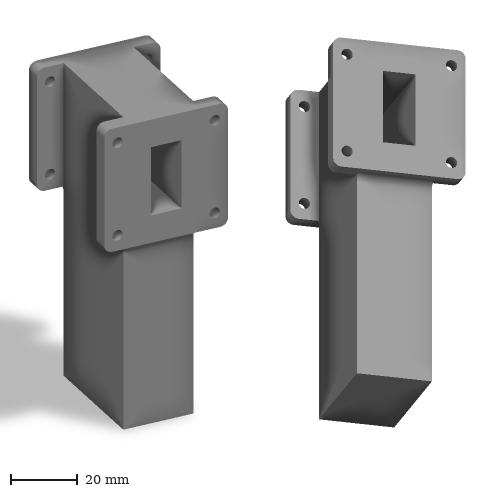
import cadquery as cq

body_height = 105.0
total_length = 50.0
body_depth = 23.4
flange_size = 41.4
flange_thickness = 5.2
flange_corner_radius = 2.6
body_width = total_length - 2 * flange_thickness

guide_width = 10.2
guide_height = 22.9
guide_z = -flange_size / 2
bolt_spacing_y = 32.5
bolt_spacing_z = 31.1
bolt_diameter = 3.5

root_radius = 2.1


def make_body():
    return cq.Workplane("XY").box(
        body_width, body_depth, body_height, centered=(True, True, False)
    ).translate((0, 0, -body_height))


def make_flange(side):
    """Square flange with rounded corners and four bolt holes; side is -1 or +1."""
    center_x = side * (total_length - flange_thickness) / 2
    return (
        cq.Workplane("YZ")
        .rect(flange_size, flange_size)
        .extrude(flange_thickness / 2, both=True)
        .edges("|X")
        .fillet(flange_corner_radius)
        .faces(">X")
        .workplane()
        .rarray(bolt_spacing_y, bolt_spacing_z, 2, 2)
        .hole(bolt_diameter)
        .translate((center_x, 0, guide_z))
    )


def make_root_fillet(side):
    """Concave strip under a flange, as deep as the body."""
    wall_x = side * body_width / 2
    outer_x = wall_x + side * root_radius
    flange_bottom = -flange_size
    lower_z = flange_bottom - root_radius
    diagonal = root_radius / 2**0.5
    return (
        cq.Workplane("XZ")
        .moveTo(wall_x, flange_bottom)
        .lineTo(outer_x, flange_bottom)
        .threePointArc((outer_x - side * diagonal, lower_z + diagonal), (wall_x, lower_z))
        .close()
        .extrude(body_depth / 2, both=True)
    )


result = make_body()
for side in (-1, 1):
    result = result.union(make_flange(side)).union(make_root_fillet(side))

passage = cq.Workplane("XY").box(total_length, guide_width, guide_height).translate((0, 0, guide_z))
result = result.cut(passage)